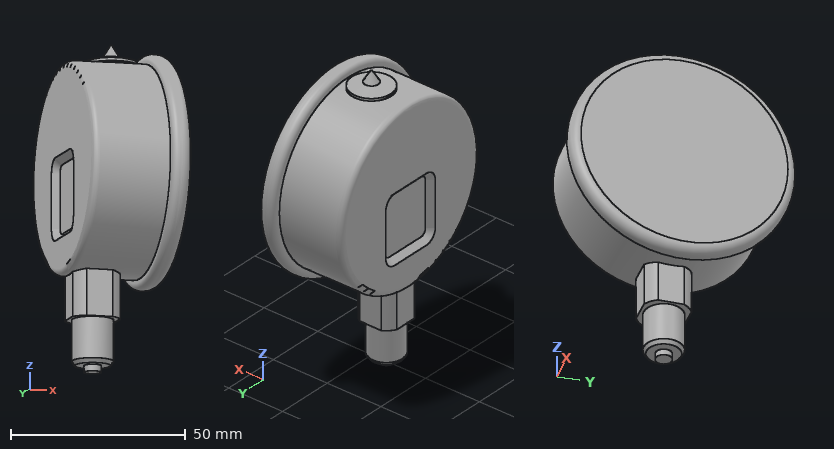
import cadquery as cq
import math


gauge_depth = 29.0
case_diameter = 62.0
edge_radius = 2.0
bezel_diameter = 68.0
bezel_width = 5.9
bezel_front_radius = 3.1

recess_width = 22.2
recess_height = 24.2
recess_top = 4.3
recess_corner_radius = 4.0
recess_depth = 2.0
recess_inset = 2.0

connection_x = 9.0
wrench_flats = 14.2
wrench_corner_diameter = 16.25
wrench_top = 0
wrench_bottom = -43.8
spigot_diameter = 12.0
spigot_bottom = -57.1
spigot_chamfer_height = 1.2
spigot_chamfer_width = 0.9
pin_diameter = 5.0
pin_bottom = -59.0

plug_x = 14.5
stem_diameter = 11.0
stem_length = 2.0
flange_diameter = 14.5
flange_bottom = 30.8
flange_edge_height = 0.9
flange_cone_height = 1.2
spike_diameter = 5.0
spike_height = 3.7
spike_tip_radius = 0.36


def disc_along_x(diameter, start, length):
    return cq.Workplane("YZ").workplane(offset=start).circle(diameter / 2).extrude(length)


def post_along_z(diameter, bottom, top):
    base = cq.Workplane("XY", origin=(connection_x, 0, bottom))
    return base.circle(diameter / 2).extrude(top - bottom)


def make_case():
    """Round case with a rounded back edge and a wider rounded bezel at the front."""
    bezel_start = gauge_depth - bezel_width
    case = disc_along_x(case_diameter, 0, gauge_depth).faces("<X").edges().fillet(edge_radius)
    bezel = disc_along_x(bezel_diameter, bezel_start, bezel_width)
    bezel = bezel.faces("<X").edges().fillet(edge_radius)
    bezel = bezel.faces(">X").edges().fillet(bezel_front_radius)
    return case.union(bezel)


def make_recess():
    """Rounded rectangle whose walls slope inwards from the back face to the floor."""
    slope = math.degrees(math.atan2(recess_inset, recess_depth))
    return (
        cq.Workplane("YZ", origin=(0, 0, recess_top - recess_height / 2))
        .sketch()
        .rect(recess_width, recess_height)
        .vertices()
        .fillet(recess_corner_radius)
        .finalize()
        .extrude(recess_depth, taper=slope)
    )


def make_connection():
    """Square wrench section with rounded corners, chamfered spigot and centring pin."""
    wrench = post_along_z(wrench_corner_diameter, wrench_bottom, wrench_top)
    flats = cq.Workplane("XY", origin=(connection_x, 0, wrench_bottom))
    flats = flats.rect(wrench_flats, wrench_flats).extrude(wrench_top - wrench_bottom)
    wrench = wrench.intersect(flats)
    spigot = post_along_z(spigot_diameter, spigot_bottom, wrench_bottom)
    spigot = spigot.faces("<Z").edges().chamfer(spigot_chamfer_height, spigot_chamfer_width)
    pin = post_along_z(pin_diameter, pin_bottom, spigot_bottom)
    return wrench.union(spigot).union(pin)


def make_plug():
    """Turned plug: stem, flange with a conical top, and a spike with a ball tip."""
    stem_radius = stem_diameter / 2
    flange_radius = flange_diameter / 2
    spike_radius = spike_diameter / 2
    stem_bottom = flange_bottom - stem_length
    flange_edge_top = flange_bottom + flange_edge_height
    spike_bottom = flange_edge_top + flange_cone_height
    spike_top = spike_bottom + spike_height
    ball_height = spike_height - spike_tip_radius

    base_distance = math.hypot(spike_radius, ball_height)
    base_angle = math.atan2(-ball_height, spike_radius)
    touch_angle = base_angle + math.acos(spike_tip_radius / base_distance)
    mid_angle = (touch_angle + math.pi / 2) / 2

    def on_ball(angle):
        return (
            spike_tip_radius * math.cos(angle),
            spike_bottom + ball_height + spike_tip_radius * math.sin(angle),
        )

    profile = (
        cq.Workplane("XZ", origin=(plug_x, 0, 0))
        .moveTo(0, stem_bottom)
        .lineTo(stem_radius, stem_bottom)
        .lineTo(stem_radius, flange_bottom)
        .lineTo(flange_radius, flange_bottom)
        .lineTo(flange_radius, flange_edge_top)
        .lineTo(spike_radius, spike_bottom)
        .lineTo(*on_ball(touch_angle))
        .threePointArc(on_ball(mid_angle), (0, spike_top))
        .close()
    )
    return profile.revolve(360, (0, 0, 0), (0, 1, 0))


plug = make_plug()
housing = make_case().union(make_connection()).cut(make_recess()).cut(plug)

result = cq.Compound.makeCompound([housing.solids().val(), plug.solids().val()])